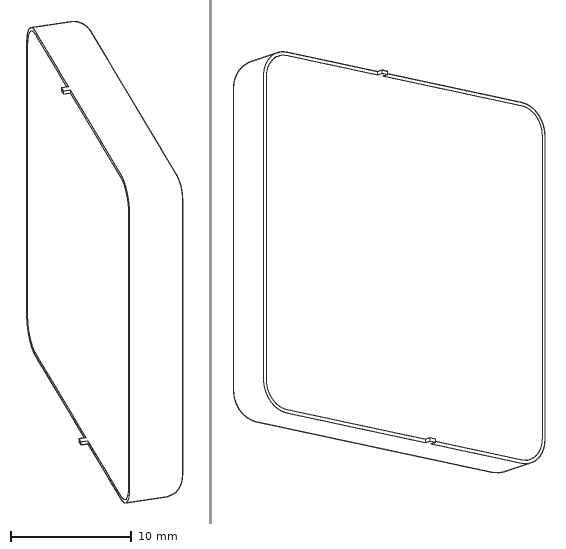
import cadquery as cq

width = 30.0
height = 31.2
depth = 5.0
wall = 0.3
corner_radius = 2.5
back_edge_radius = 1.5

tab_width = 0.6
tab_length = 0.6
tab_thickness = wall
tab_offset = 2.55


def rounded_tray(inset):
    """Solid block with a rounded back, set in from the outer faces by `inset`."""
    block_depth = depth - inset
    return (
        cq.Workplane("XY")
        .box(width - 2 * inset, block_depth, height - 2 * inset, centered=(True, False, True))
        .edges("|Y")
        .fillet(corner_radius - inset)
        .faces(">Y")
        .edges()
        .fillet(back_edge_radius - inset)
    )


def tab(side):
    """Tab on the top wall (side = 1) or the bottom wall (side = -1)."""
    tab_z = side * (height - tab_thickness) / 2
    return (
        cq.Workplane("XY")
        .box(tab_width, 2 * tab_length, tab_thickness)
        .translate((-side * tab_offset, 0, tab_z))
    )


result = rounded_tray(0).cut(rounded_tray(wall))
for wall_side in (1, -1):
    result = result.union(tab(wall_side))